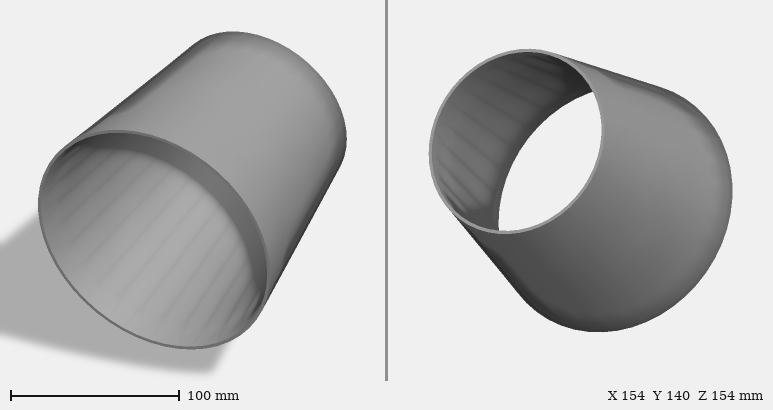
import cadquery as cq

large_diameter = 154.0
small_diameter = 114.3
length = 140.0
wall = 2.0

large_radius = large_diameter / 2
small_radius = small_diameter / 2

wall_section = (
    cq.Workplane("XY")
    .moveTo(large_radius - wall, 0)
    .lineTo(large_radius, 0)
    .lineTo(small_radius, length)
    .lineTo(small_radius - wall, length)
    .close()
)

result = wall_section.revolve(360, (0, 0), (0, 1))